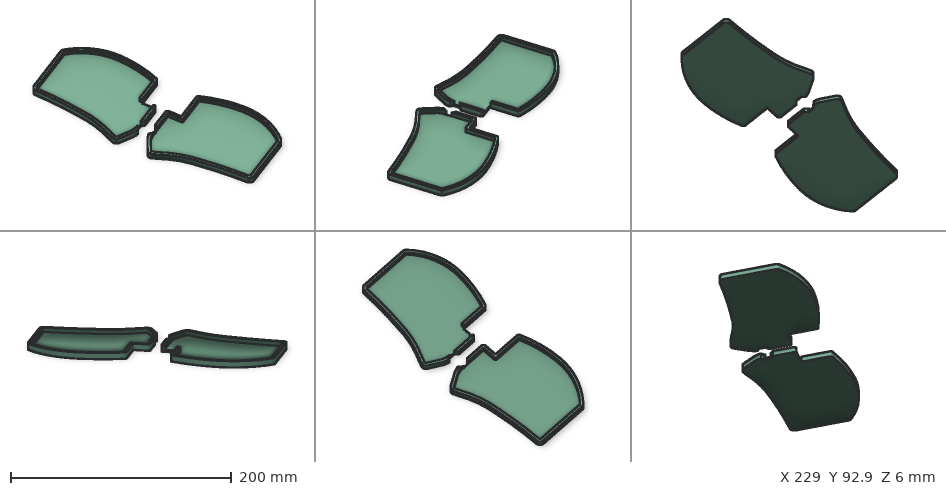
import cadquery as cq

tray_height = 6.0
floor_thickness = 2.0
wall = 3.0

outer_x = -114.5
inner_x = -5.3
step_x = -20.6
step_y = 7.8
outer_top = (outer_x, 26.5)
crown_mid = (-91.2, 41.7)
crown_top = (-64.6, 46.42)
crown_slope_mid = (-42.6, 43.8)
step_top = (step_x, 37.1)
outer_bottom = (outer_x, -29.3)
belly_mid = (-88.2, -30.5)
belly_end = (-62.8, -33.2)
hollow_mid = (-44.2, -36.7)
hollow_end = (-26.1, -43.8)
tip = (-17.0, -47.7)
flank_low = (-7.45, -31.5)
flank_mid = (-5.85, -26.5)
flank_top = (inner_x, -21.8)

side_radius = 4.5
step_radius = 2.3
step_root_radius = 1.0
pocket_radius = 1.5

gap_y = -19.7
gap_inner_half = 3.0
gap_outer_half = gap_inner_half + wall


def tray_outline():
    return (
        cq.Workplane("XY")
        .moveTo(*outer_bottom)
        .lineTo(*outer_top)
        .threePointArc(crown_mid, crown_top)
        .threePointArc(crown_slope_mid, step_top)
        .lineTo(step_x, step_y)
        .lineTo(inner_x, step_y)
        .lineTo(*flank_top)
        .threePointArc(flank_mid, flank_low)
        .lineTo(*tip)
        .lineTo(*hollow_end)
        .threePointArc(hollow_mid, belly_end)
        .threePointArc(belly_mid, outer_bottom)
        .close()
    )


def round_corners(body, corners, radius):
    """Fillet the upright edge nearest to each corner point."""
    for x, y in corners:
        nearest = cq.selectors.NearestToPointSelector((x, y, tray_height / 2))
        body = body.edges("|Z").edges(nearest).fillet(radius)
    return body


def outer_block():
    block = tray_outline().extrude(tray_height)
    block = round_corners(block, [outer_top, outer_bottom, tip], side_radius)
    block = round_corners(block, [step_top, (inner_x, step_y)], step_radius)
    return round_corners(block, [(step_x, step_y)], step_root_radius)


def pocket():
    space = tray_outline().offset2D(-wall, "intersection").extrude(tray_height)
    space = round_corners(space, [outer_bottom, tip], pocket_radius)
    space = round_corners(space, [(step_x - wall, step_y - wall)], step_root_radius)
    return space.translate((0, 0, floor_thickness))


def wall_gap():
    pocket_x = inner_x - wall
    return (
        cq.Workplane("XY")
        .moveTo(pocket_x, gap_y - gap_inner_half)
        .lineTo(inner_x, gap_y - gap_outer_half)
        .lineTo(inner_x + wall, gap_y - gap_outer_half)
        .lineTo(inner_x + wall, gap_y + gap_outer_half)
        .lineTo(inner_x, gap_y + gap_outer_half)
        .lineTo(pocket_x, gap_y + gap_inner_half)
        .close()
        .extrude(tray_height)
    )


def tray():
    return outer_block().cut(pocket()).cut(wall_gap())


def ledge_opening():
    """Space of the wall along the ledge, which is left out above the floor."""
    start_x = step_x - wall
    end_x = inner_x - wall
    bottom_y = step_y - wall
    top_y = step_y + step_root_radius
    return cq.Workplane("XY", origin=(start_x, bottom_y, floor_thickness)).box(
        end_x - start_x, top_y - bottom_y, tray_height, centered=False
    )


left_tray = tray().cut(ledge_opening())
right_tray = tray().mirror("YZ")

result = cq.Compound.makeCompound([left_tray.val(), right_tray.val()])